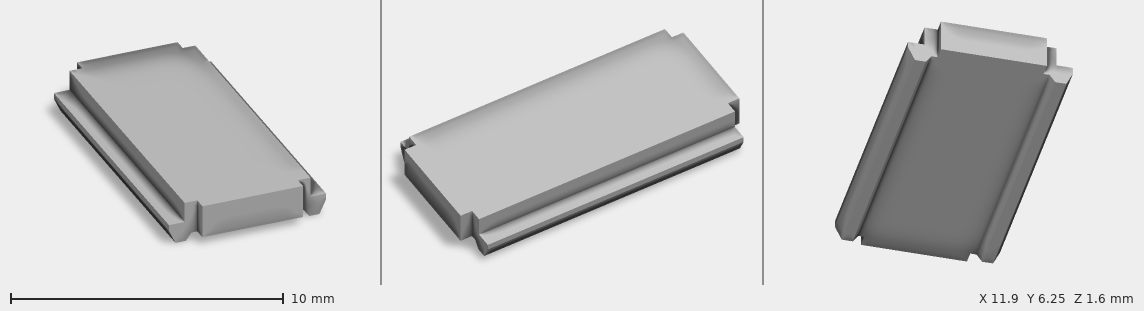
import cadquery as cq

length = 11.9
width = 6.25
height = 1.6

slab_length = 10.92
slab_width = 5.0
tab_width = 4.0
slab_thickness = 1.3

rail_top_depth = 0.8
rail_edge_depth = 1.04
foot_outer_inset = 0.26
foot_width = 0.42
foot_inner_run = 0.21

top = height / 2
bottom = -height / 2
slab_bottom = top - slab_thickness
rail_top = top - rail_top_depth
rail_edge_bottom = top - rail_edge_depth
foot_outer = width / 2 - foot_outer_inset
foot_inner = foot_outer - foot_width
foot_root = foot_inner - foot_inner_run

half_section = [
    (0, top),
    (slab_width / 2, top),
    (slab_width / 2, rail_top),
    (width / 2, rail_top),
    (width / 2, rail_edge_bottom),
    (foot_outer, bottom),
    (foot_inner, bottom),
    (foot_root, slab_bottom),
    (0, slab_bottom),
]

half_body = cq.Workplane("YZ").polyline(half_section).close().extrude(slab_length / 2, both=True)
body = half_body.union(half_body.mirror("XZ"))

tabs = cq.Workplane("XY").workplane(offset=slab_bottom).rect(length, tab_width).extrude(slab_thickness)

result = body.union(tabs).clean()